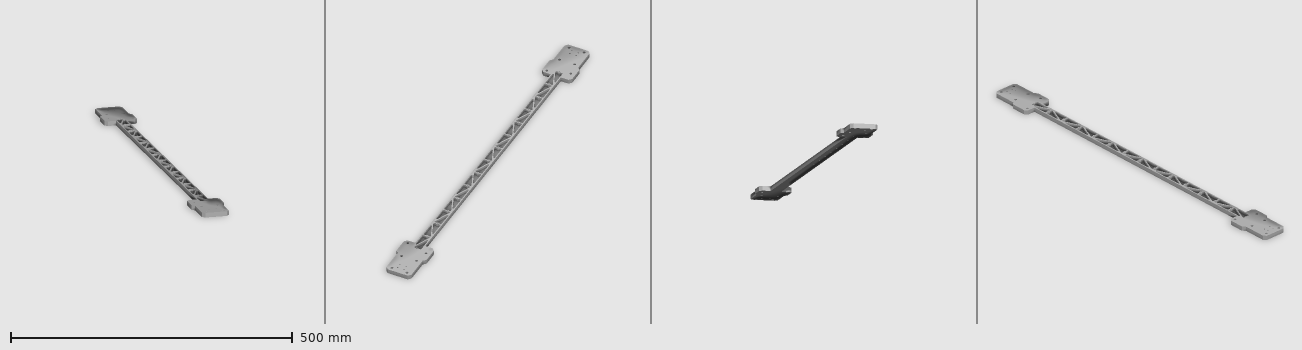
import cadquery as cq

length = 712.0
plate_width = 60.0
thickness = 8.5

plate_length = 89.0
narrow_width = 50.0
wide_length = 39.0
corner = 5.0

beam_width = 20.0
rail = 2.0
web = 2.0
floor = 2.0
truss_length = 560.0
nodes_per_side = 7
node_y = 8.5
opening_radius = 1.5
boss_diameter = 5.0

large_hole = 5.0
small_hole = 2.5
row_offset = 15.0
outer_hole_x = 349.0
middle_hole_x = 311.0
upper_hole = (273.5, 21.5)
lower_hole = (285.0, -21.0)
small_hole_xs = (334.5, 343.0)
small_hole_y = 6.5

pitch = truss_length / (2 * nodes_per_side)
plate_step = (plate_width - narrow_width) / 2
end_x = length / 2
inner_x = end_x - plate_length
wide_x = inner_x + wide_length
opening_half_width = beam_width / 2 - rail
opening_depth = thickness - floor
node_numbers = range(-nodes_per_side, nodes_per_side + 1)
node_points = [(number * pitch, 0) for number in node_numbers]


def node_side(number):
    """Rail on which the diagonals meet: +1 for odd nodes, -1 for even nodes."""
    return 1 if number % 2 else -1


def end_plate():
    """Plate at the +X end."""
    wide_y = plate_width / 2
    narrow_y = narrow_width / 2
    upper = [
        (inner_x, wide_y - corner),
        (inner_x + corner, wide_y),
        (wide_x - plate_step, wide_y),
        (wide_x, narrow_y),
        (end_x - corner, narrow_y),
        (end_x, narrow_y - corner),
    ]
    lower = [(x, -y) for x, y in reversed(upper)]
    return cq.Workplane("XY").polyline(upper + lower).close().extrude(thickness)


def truss_opening(number, side):
    """Rounded triangle between posts number and number + 1, against the rail on the given side."""
    left = number * pitch
    right = left + pitch
    middle = left + pitch / 2
    rail_y = side * (opening_half_width + web / 2)
    slope = (node_side(number + 1) - node_side(number)) * node_y / pitch
    tip_x = middle + rail_y / slope
    post_x = left if node_side(number) != side else right
    post_y = slope * (post_x - middle)
    return (
        cq.Workplane("XY", origin=(0, 0, floor))
        .polyline([(post_x, rail_y), (tip_x, rail_y), (post_x, post_y)])
        .close()
        .offset2D(-(web / 2 + opening_radius))
        .offset2D(opening_radius)
        .extrude(opening_depth)
    )


def drill(body, points, diameter):
    """Through holes from the top face."""
    holes = cq.Workplane("XY").pushPoints(points).circle(diameter / 2).extrude(thickness)
    return body.cut(holes)


plate = end_plate()
beam = cq.Workplane("XY").rect(2 * inner_x + 2 * corner, beam_width).extrude(thickness)
body = beam.union(plate).union(plate.mirror("YZ"))

openings = cq.Workplane("XY")
for number in node_numbers[:-1]:
    for side in (1, -1):
        openings = openings.add(truss_opening(number, side))
bosses = (
    cq.Workplane("XY", origin=(0, 0, floor))
    .pushPoints(node_points)
    .circle(boss_diameter / 2)
    .extrude(opening_depth)
)
body = body.cut(openings.combine().cut(bosses))

large_points = [upper_hole, lower_hole]
for hole_x in (outer_hole_x, middle_hole_x):
    large_points += [(hole_x, row_offset), (hole_x, -row_offset)]
small_points = []
for hole_x in small_hole_xs:
    small_points += [(hole_x, small_hole_y), (hole_x, -small_hole_y)]

for side in (1, -1):
    body = drill(body, [(side * x, y) for x, y in large_points], large_hole)
    body = drill(body, [(side * x, y) for x, y in small_points], small_hole)
body = drill(body, node_points, small_hole)

result = body